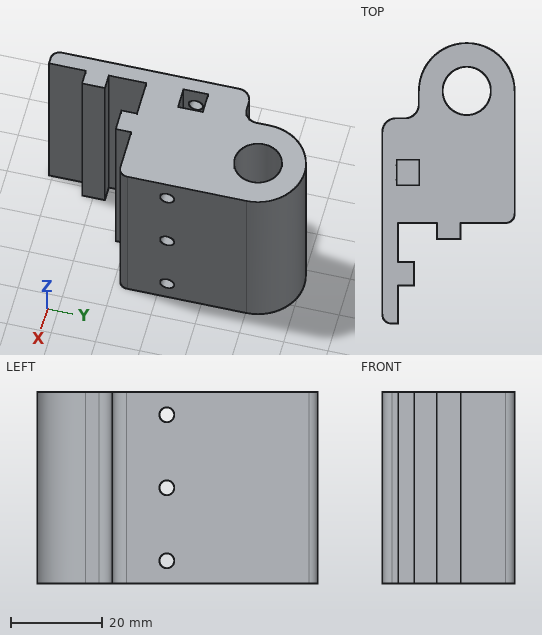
import cadquery as cq

width = 29.0
length = 61.5
height = 42.0

lug_radius = 10.5
pin_bore_diameter = 10.5
lug_center_x = width - lug_radius
lug_center_y = length - lug_radius
lug_left_x = width - 2 * lug_radius

plate_thickness = 3.5
seat_y = 22.0
shoulder_y = 45.0
shoulder_radius = 3.0
corner_radius = 2.0

rib_width = 5.15
rib_projection = 3.5
rib_offset = 8.5

screw_diameter = 3.2
screw_pitch = 16.0
screw_y = 33.1
screw_count = 3
pocket_x = 3.15
pocket_size_x = 4.9
pocket_size_y = 5.6


def block(x, y, size_x, size_y):
    """Full-height block whose lower corner is at (x, y)."""
    return cq.Workplane("XY").box(size_x, size_y, height, centered=False).translate((x, y, 0))


def make_body():
    """L-shaped body with the rounded lug at its far end."""
    body = (
        cq.Workplane("XY")
        .moveTo(0, 0)
        .lineTo(plate_thickness, 0)
        .lineTo(plate_thickness, seat_y)
        .lineTo(width, seat_y)
        .lineTo(width, lug_center_y)
        .threePointArc((lug_center_x, length), (lug_left_x, lug_center_y))
        .lineTo(lug_left_x, shoulder_y)
        .lineTo(0, shoulder_y)
        .close()
        .extrude(height)
    )
    for x, y, radius in (
        (0, 0, corner_radius),
        (width, seat_y, corner_radius),
        (0, shoulder_y, shoulder_radius),
        (lug_left_x, shoulder_y, shoulder_radius),
    ):
        corner = cq.selectors.NearestToPointSelector((x, y, height / 2))
        body = body.edges(corner).fillet(radius)
    return body


def make_ribs():
    """Locating ribs at equal distances from the inside corner."""
    seat_rib = block(plate_thickness + rib_offset, seat_y - rib_projection, rib_width, rib_projection)
    plate_rib = block(plate_thickness, seat_y - rib_offset - rib_width, rib_projection, rib_width)
    return seat_rib.union(plate_rib)


def make_pin_bore():
    return (
        cq.Workplane("XY")
        .center(lug_center_x, lug_center_y)
        .circle(pin_bore_diameter / 2)
        .extrude(height)
    )


def make_screw_holes():
    """Column of through holes along X, centered on the height."""
    return (
        cq.Workplane("YZ")
        .center(screw_y, height / 2)
        .rarray(0.6, screw_pitch, 1, screw_count)
        .circle(screw_diameter / 2)
        .extrude(width)
    )


def make_nut_pocket():
    """Pocket open at the top, ending half a nut width below the top screw."""
    floor_z = height / 2 + screw_pitch - pocket_size_y / 2
    pocket = block(pocket_x, screw_y - pocket_size_y / 2, pocket_size_x, pocket_size_y)
    return pocket.translate((0, 0, floor_z))


result = make_body().union(make_ribs())
result = result.cut(make_pin_bore())
result = result.cut(make_screw_holes())
result = result.cut(make_nut_pocket())